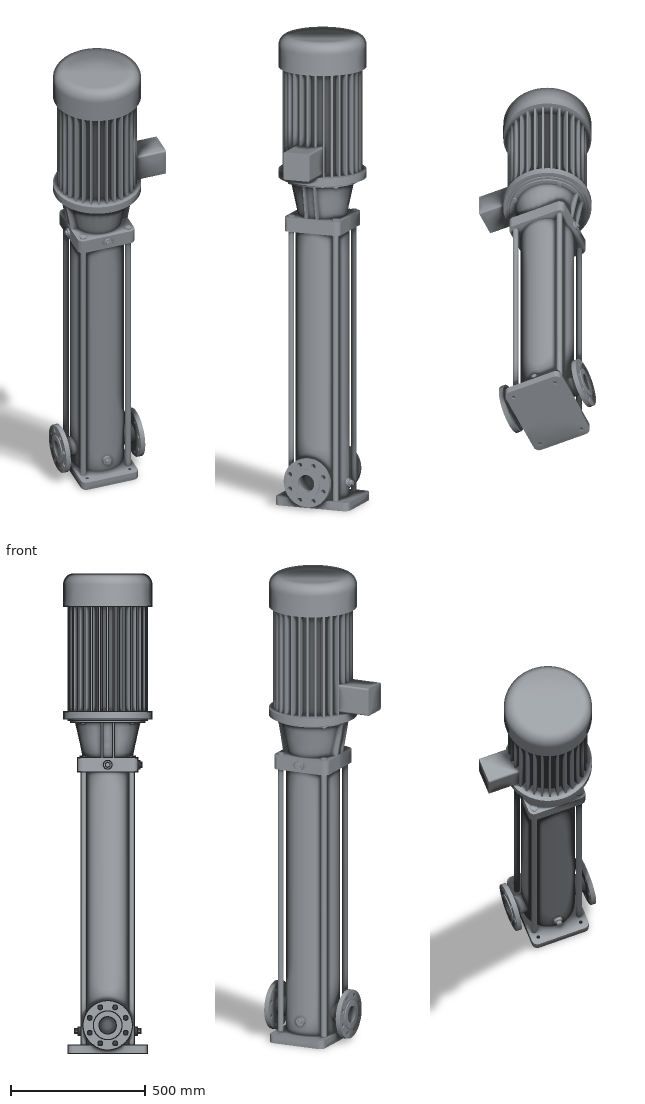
import cadquery as cq
import math


foot_top = 32.0
port_height = 105.0
drain_height = 85.0
head_bottom = 1050.0
head_top = 1105.0
lantern_top = 1235.0
register_top = 1242.0
motor_flange_bottom = 1248.0
motor_flange_top = 1276.0
cowl_bottom = 1668.0
total_height = 1790.0

foot_length = 297.0
foot_width = 225.0
head_size = 225.0
corner_radius = 21.0
foot_hole_diameter = 14.0
foot_hole_pitch_x = 240.0
foot_hole_pitch_y = 170.0

sleeve_diameter = 200.0
rod_diameter = 21.0
rod_offset = 90.0
nut_diameter = 27.0
nut_height = 5.0

port_face_distance = 161.0
pipe_diameter = 73.0
bore_diameter = 65.0
flange_diameter = 185.0
flange_thickness = 18.0
raised_face_diameter = 107.0
raised_face_height = 4.0
bolt_count = 8
bolt_circle_diameter = 145.0
bolt_hole_diameter = 18.0

plug_collar_diameter = 32.0
plug_hex_diameter = 20.0
drain_collar_end = 111.0
drain_hex_height = 13.0
head_collar_height = 7.0
head_hex_height = 7.0

lantern_bottom_diameter = 183.0
lantern_top_diameter = 240.0
register_diameter = 280.0
spigot_diameter = 297.0
motor_bolt_offset = 91.0
motor_bolt_diameter = 18.0
motor_bolt_height = 5.0
rib_bottom_reach = head_size / 2
rib_top_reach = 136.0
rib_thickness = 7.0
rib_offset = 21.0

motor_diameter = 330.0
cowl_round = 40.0
fin_count = 30
fin_diameter = 297.0
fin_thickness = 7.0
core_diameter = 230.0

box_reach = 256.0
box_size = 105.0
box_height = 1337.0
box_round = 7.0


def cylinder(diameter, bottom, top):
    """Cylinder on the pump axis between two heights."""
    return cq.Workplane("XY").workplane(offset=bottom).circle(diameter / 2).extrude(top - bottom)


def rounded_plate(length, width, bottom, top):
    """Rectangular plate on the pump axis with rounded vertical corners."""
    plate = cq.Workplane("XY").workplane(offset=bottom).rect(length, width).extrude(top - bottom)
    return plate.edges("|Z").fillet(corner_radius)


def make_foot():
    foot = rounded_plate(foot_length, foot_width, 0, foot_top)
    holes = (
        cq.Workplane("XY")
        .rect(foot_hole_pitch_x, foot_hole_pitch_y, forConstruction=True)
        .vertices()
        .circle(foot_hole_diameter / 2)
        .extrude(foot_top)
    )
    return foot.cut(holes)


def make_tie_rods():
    """Four rods from the foot through the head, each with a hexagon nut on top."""
    rods = (
        cq.Workplane("XY")
        .rect(2 * rod_offset, 2 * rod_offset, forConstruction=True)
        .vertices()
        .circle(rod_diameter / 2)
        .extrude(head_top)
    )
    nuts = (
        cq.Workplane("XY")
        .workplane(offset=head_top)
        .rect(2 * rod_offset, 2 * rod_offset, forConstruction=True)
        .vertices()
        .polygon(6, nut_diameter)
        .extrude(nut_height)
    )
    return rods.union(nuts)


def make_port(side):
    """Flanged nozzle on the -Y (side = -1) or +Y (side = 1) face, bored as far as the sleeve."""
    flange_front = port_face_distance - raised_face_height
    flange_back = flange_front - flange_thickness

    def disc(diameter, start, end):
        plane = cq.Plane(origin=(0, side * start, port_height), xDir=(1, 0, 0), normal=(0, side, 0))
        return cq.Workplane(plane).circle(diameter / 2).extrude(end - start)

    bolt_plane = cq.Plane(origin=(0, side * flange_back, port_height), xDir=(1, 0, 0), normal=(0, side, 0))
    bolt_holes = (
        cq.Workplane(bolt_plane)
        .polarArray(bolt_circle_diameter / 2, 180 / bolt_count, 360, bolt_count)
        .circle(bolt_hole_diameter / 2)
        .extrude(flange_thickness)
    )
    port = disc(pipe_diameter, 0, flange_front)
    port = port.union(disc(flange_diameter, flange_back, flange_front))
    port = port.union(disc(raised_face_diameter, flange_front, port_face_distance))
    port = port.cut(disc(bore_diameter, 0, port_face_distance))
    return port.cut(bolt_holes)


def make_plug(direction, height, start, collar_end, hex_height):
    """Screwed plug pointing along a horizontal direction: a round collar and a hexagon."""
    plane = cq.Plane(
        origin=(direction[0] * start, direction[1] * start, height), xDir=(0, 0, 1), normal=direction
    )
    collar_length = collar_end - start
    collar = cq.Workplane(plane).circle(plug_collar_diameter / 2).extrude(collar_length)
    hexagon = cq.Workplane(plane).polygon(6, plug_hex_diameter).extrude(collar_length + hex_height)
    return collar.union(hexagon)


def make_plugs():
    """Drain plugs on both X sides of the sleeve, and head plugs on the -Y and +X faces."""
    head_middle = (head_bottom + head_top) / 2
    head_face = head_size / 2
    collar_end = head_face + head_collar_height
    plugs = make_plug((0, -1, 0), head_middle, head_face, collar_end, head_hex_height)
    plugs = plugs.union(make_plug((1, 0, 0), head_middle, head_face, collar_end, head_hex_height))
    for side in (-1, 1):
        plugs = plugs.union(make_plug((side, 0, 0), drain_height, 0, drain_collar_end, drain_hex_height))
    return plugs


def make_lantern():
    """Cone between head and motor, with a stepped rim, thin ribs and four bolt heads."""
    cone = (
        cq.Workplane("XZ")
        .moveTo(0, head_top)
        .lineTo(lantern_bottom_diameter / 2, head_top)
        .lineTo(lantern_top_diameter / 2, lantern_top)
        .lineTo(0, lantern_top)
        .close()
        .revolve(360, (0, 0), (0, 1))
    )
    lantern = cone.union(cylinder(register_diameter, lantern_top, register_top))
    lantern = lantern.union(cylinder(spigot_diameter, register_top, motor_flange_bottom))
    for x in (-rib_offset, rib_offset):
        ribs = (
            cq.Workplane("YZ")
            .workplane(offset=x - rib_thickness / 2)
            .moveTo(-rib_bottom_reach, head_top)
            .lineTo(rib_bottom_reach, head_top)
            .lineTo(rib_top_reach, lantern_top)
            .lineTo(-rib_top_reach, lantern_top)
            .close()
            .extrude(rib_thickness)
        )
        lantern = lantern.union(ribs)
    bolt_heads = (
        cq.Workplane("XY")
        .workplane(offset=lantern_top - motor_bolt_height)
        .rect(2 * motor_bolt_offset, 2 * motor_bolt_offset, forConstruction=True)
        .vertices()
        .circle(motor_bolt_diameter / 2)
        .extrude(motor_bolt_height)
    )
    return lantern.union(bolt_heads)


def make_fin_outline():
    """Closed outline of the motor core with radial fins of constant thickness."""
    half = fin_thickness / 2
    root = math.sqrt((core_diameter / 2) ** 2 - half**2)
    tip = math.sqrt((fin_diameter / 2) ** 2 - half**2)
    corners = ((root, -half), (tip, -half), (tip, half), (root, half))
    points = []
    for i in range(fin_count):
        angle = math.radians(90 + i * 360 / fin_count)
        cosine = math.cos(angle)
        sine = math.sin(angle)
        points += [(u * cosine - v * sine, u * sine + v * cosine) for u, v in corners]
    return points


def make_terminal_box():
    """Box reaching from inside the motor core to the +Y side, with its long edges rounded."""
    return (
        cq.Workplane("XZ")
        .center(0, box_height)
        .rect(box_size, box_size)
        .extrude(-box_reach)
        .edges("|Y")
        .fillet(box_round)
    )


def make_motor():
    flange = cylinder(motor_diameter, motor_flange_bottom, motor_flange_top)
    core = cylinder(core_diameter, motor_flange_top, cowl_bottom)
    fins = (
        cq.Workplane("XY")
        .workplane(offset=motor_flange_top)
        .polyline(make_fin_outline())
        .close()
        .extrude(cowl_bottom - motor_flange_top)
    )
    cowl = cylinder(motor_diameter, cowl_bottom, total_height).faces(">Z").edges().fillet(cowl_round)
    return flange.union(core).union(fins).union(cowl).union(make_terminal_box())


sleeve = cylinder(sleeve_diameter, foot_top, head_bottom)
head = rounded_plate(head_size, head_size, head_bottom, head_top)

result = make_port(-1).union(make_port(1)).union(sleeve)
for component in (make_foot(), head, make_tie_rods(), make_plugs(), make_lantern(), make_motor()):
    result = result.union(component)